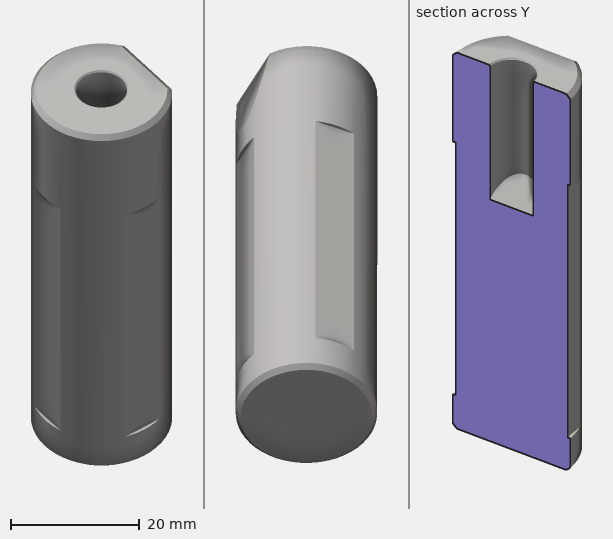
import cadquery as cq
import math

bar_diameter = 22.0
bar_length = 71.12
bar_radius = bar_diameter / 2

flat_count = 4
flat_spacing = 360 / flat_count
flat_depth = 0.508
flat_bottom = 6.35
flat_length = 47.625

relief_length = 12.7
relief_angle = 9.0
relief_depth = relief_length * math.tan(math.radians(relief_angle))

edge_chamfer = 0.762

hole_diameter = 7.9375
hole_radius = hole_diameter / 2
hole_depth = 25.4
hole_floor_angle = 45.0
hole_floor_rise = hole_radius * math.tan(math.radians(hole_floor_angle))
hole_chamfer = 0.254


def make_bar():
    """Round bar with a chamfer on each end."""
    bar = cq.Workplane("XY").circle(bar_radius).extrude(bar_length)
    return bar.faces("<Z or >Z").chamfer(edge_chamfer)


def cut_relief(body):
    """Lean the +Y side inward towards the top and bevel the edge it leaves on the top face."""
    wedge = (
        cq.Workplane("YZ")
        .moveTo(bar_radius, bar_length - relief_length)
        .lineTo(bar_radius, bar_length)
        .lineTo(bar_radius - relief_depth, bar_length)
        .close()
        .extrude(bar_radius, both=True)
    )
    return body.cut(wedge).faces(">Z").edges("|X").chamfer(edge_chamfer)


def flat_cutter(angle):
    """Block that cuts one flat, turned about the bar axis."""
    return (
        cq.Workplane("XY")
        .box(bar_radius, bar_diameter, flat_length, centered=(False, True, False))
        .translate((bar_radius - flat_depth, 0, flat_bottom))
        .rotate((0, 0, 0), (0, 0, 1), angle)
    )


def hole_cutter():
    """Round plug whose lower end is a plane sloping up towards +Y, depth taken on the bar axis."""
    floor_height = bar_length - hole_depth
    side_profile = (
        cq.Workplane("YZ")
        .moveTo(-hole_radius, floor_height - hole_floor_rise)
        .lineTo(hole_radius, floor_height + hole_floor_rise)
        .lineTo(hole_radius, bar_length)
        .lineTo(-hole_radius, bar_length)
        .close()
        .extrude(hole_radius, both=True)
    )
    return cq.Workplane("XY").circle(hole_radius).extrude(bar_length).intersect(side_profile)


def drill_hole(body):
    """Sink the blind hole and break its mouth with a small chamfer."""
    drilled = body.cut(hole_cutter())
    mouth = drilled.faces(">Z").edges(cq.selectors.RadiusNthSelector(0))
    return mouth.chamfer(hole_chamfer)


part = cut_relief(make_bar())
for index in range(flat_count):
    part = part.cut(flat_cutter(index * flat_spacing))
result = drill_hole(part)